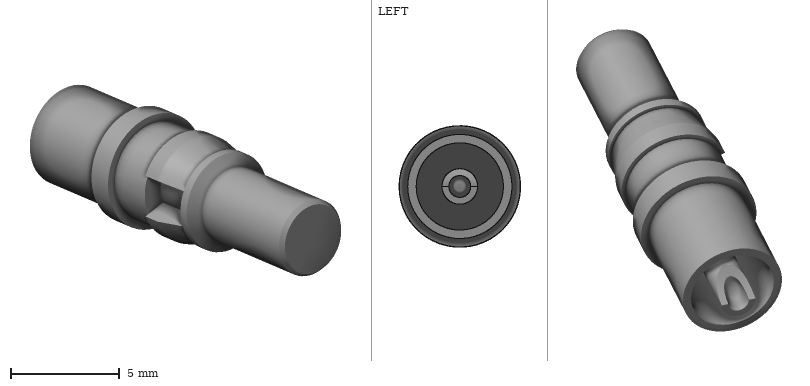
import cadquery as cq
import math

overall_length = 18.6
shell_front = 0.91
collar_front = 5.9
collar_back = 7.1
groove_front = 9.28
groove_back = 11.89
shoulder_bevel_front = 12.33
tail_front = 12.78
tail_chamfer_length = 0.22

shell_radius = 2.4
bore_radius = 2.0
collar_diameter = 5.6
collar_radius = collar_diameter / 2
groove_radius = 1.47
tail_radius = 1.85
tail_chamfer_depth = 0.17

ring_clearance = 0.05
ring_large_radius = 2.6
ring_small_radius = 2.25
ring_land_length = 0.9
ring_gap_angle = 45.0

bore_floor = collar_back
contact_radius = 0.82
cup_radius = 0.5
cup_depth = 3.35
cup_opening_length = 1.77
cup_opening_mid_height = 0.28


def revolve_about_x(profile):
    """Revolve a closed (x, radius) profile fully about the X axis."""
    return cq.Workplane("XY").polyline(profile).close().revolve(360, (0, 0, 0), (1, 0, 0))


def make_shell():
    """Stepped tubular shell with a collar, ring groove, shoulder and solid tail."""
    return revolve_about_x([
        (shell_front, bore_radius),
        (shell_front, shell_radius),
        (collar_front, shell_radius),
        (collar_front, collar_radius),
        (collar_back, collar_radius),
        (collar_back, shell_radius),
        (groove_front, shell_radius),
        (groove_front, groove_radius),
        (groove_back, groove_radius),
        (groove_back, shell_radius),
        (shoulder_bevel_front, shell_radius),
        (tail_front, tail_radius),
        (overall_length - tail_chamfer_length, tail_radius),
        (overall_length, tail_radius - tail_chamfer_depth),
        (overall_length, 0),
        (bore_floor, 0),
        (bore_floor, bore_radius),
    ])


def make_snap_ring():
    """Tapered C-ring seated on the groove floor, with a radial-sided gap facing -Y."""
    ring_front = groove_front + ring_clearance
    ring_back = groove_back - ring_clearance
    ring = revolve_about_x([
        (ring_front, groove_radius),
        (ring_front, ring_large_radius),
        (ring_front + ring_land_length, ring_large_radius),
        (ring_back, ring_small_radius),
        (ring_back, groove_radius),
    ])
    wedge_reach = 2 * ring_large_radius
    wedge_half_width = wedge_reach * math.tan(math.radians(ring_gap_angle / 2))
    gap = (
        cq.Workplane("YZ", origin=(groove_front, 0, 0))
        .polyline([(0, 0), (-wedge_reach, -wedge_half_width), (-wedge_reach, wedge_half_width)])
        .close()
        .extrude(groove_back - groove_front)
    )
    return ring.cut(gap)


def make_contact():
    """Round contact with a blind cup whose upper half is cut away in a rising arc."""
    contact = cq.Workplane("YZ").circle(contact_radius).extrude(bore_floor)
    cup = cq.Workplane("YZ").circle(cup_radius).extrude(cup_depth)

    opening = (
        cq.Workplane("XZ")
        .moveTo(0, 0)
        .threePointArc((cup_opening_length / 2, cup_opening_mid_height), (cup_opening_length, contact_radius))
        .lineTo(0, contact_radius)
        .close()
        .extrude(contact_radius, both=True)
    )
    return contact.cut(cup).cut(opening)


shell = make_shell()
snap_ring = make_snap_ring()
contact = make_contact()

result = cq.Compound.makeCompound([shell.val(), snap_ring.val(), contact.val()])